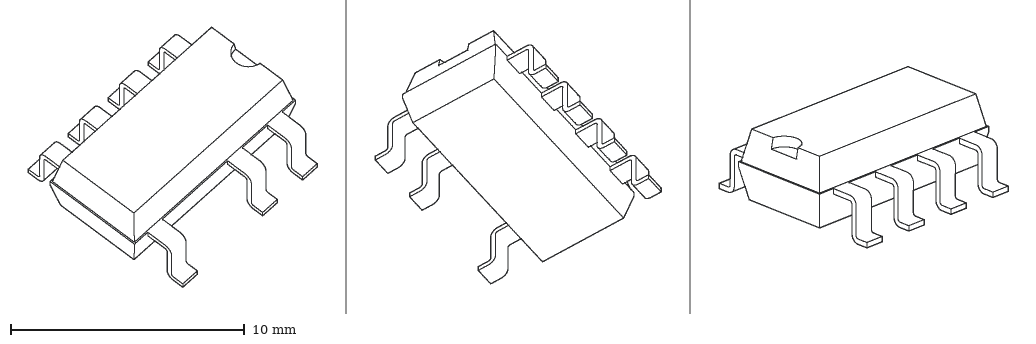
import cadquery as cq

BODY_LENGTH = 10.24
BODY_WIDTH = 4.89
TOP_Z = 3.68
BODY_BOTTOM_Z = 0.37
BAND_TOP_Z = 2.15
LEDGE = 0.07
UPPER_TAPER = 0.32
LOWER_TAPER = 0.32

LEAD_SPAN = 8.95
LEAD_THICKNESS = 0.26
LEAD_WIDTH = 0.93
LEAD_PITCH = 2.54
LEADS_PER_SIDE = 4
TOE_LENGTH = 0.66
INNER_BEND_RADIUS = 0.12
OMITTED_RIGHT_LEAD = 1

NOTCH_RADIUS = 0.76
NOTCH_DEPTH = 0.5
NOTCH_CENTRE_INSET = 0.31

BAND_BOTTOM_Z = BAND_TOP_Z - LEAD_THICKNESS


def body_section(inset, z):
    """Rectangular body outline, drawn in by inset on every side, at height z."""
    return cq.Workplane("XY", origin=(0, 0, z)).rect(BODY_WIDTH - 2 * inset, BODY_LENGTH - 2 * inset)


def tapered_block(start_inset, start_z, end_inset, end_z):
    """Block whose four sides slope evenly between two body sections."""
    return (
        body_section(start_inset, start_z)
        .workplane(offset=end_z - start_z)
        .rect(BODY_WIDTH - 2 * end_inset, BODY_LENGTH - 2 * end_inset)
        .loft(ruled=True)
    )


def make_body():
    lower = tapered_block(LOWER_TAPER, BODY_BOTTOM_Z, 0, BAND_BOTTOM_Z)
    band = body_section(0, BAND_BOTTOM_Z).extrude(LEAD_THICKNESS)
    upper = tapered_block(LEDGE, BAND_TOP_Z, LEDGE + UPPER_TAPER, TOP_Z)
    return lower.union(band).union(upper)


def make_notch():
    centre_y = BODY_LENGTH / 2 - NOTCH_CENTRE_INSET
    return (
        cq.Workplane("XY", origin=(0, centre_y, TOP_Z - NOTCH_DEPTH))
        .circle(NOTCH_RADIUS)
        .extrude(NOTCH_DEPTH)
    )


def make_lead():
    """One lead on the +X side, centred on Y = 0."""
    tip_x = LEAD_SPAN / 2
    outer_x = tip_x - TOE_LENGTH
    inner_x = outer_x - LEAD_THICKNESS
    root_x = BODY_WIDTH / 2
    outer_bend_radius = INNER_BEND_RADIUS + LEAD_THICKNESS
    lead = (
        cq.Workplane("XZ", origin=(0, LEAD_WIDTH / 2, 0))
        .moveTo(root_x, BAND_TOP_Z)
        .lineTo(outer_x, BAND_TOP_Z)
        .lineTo(outer_x, LEAD_THICKNESS)
        .lineTo(tip_x, LEAD_THICKNESS)
        .lineTo(tip_x, 0)
        .lineTo(inner_x, 0)
        .lineTo(inner_x, BAND_BOTTOM_Z)
        .lineTo(root_x, BAND_BOTTOM_Z)
        .close()
        .extrude(LEAD_WIDTH)
    )
    bends = [
        (outer_x, BAND_TOP_Z, outer_bend_radius),
        (inner_x, BAND_BOTTOM_Z, INNER_BEND_RADIUS),
        (outer_x, LEAD_THICKNESS, INNER_BEND_RADIUS),
        (inner_x, 0, outer_bend_radius),
    ]
    for x, z, radius in bends:
        corner = cq.selectors.NearestToPointSelector((x, 0, z))
        lead = lead.edges("|Y").edges(corner).fillet(radius)
    return lead


result = make_body().cut(make_notch())
right_lead = make_lead()
left_lead = right_lead.mirror("YZ")
for index in range(LEADS_PER_SIDE):
    lead_y = (index - (LEADS_PER_SIDE - 1) / 2) * LEAD_PITCH
    result = result.union(left_lead.translate((0, lead_y, 0)))
    if index != OMITTED_RIGHT_LEAD:
        result = result.union(right_lead.translate((0, lead_y, 0)))